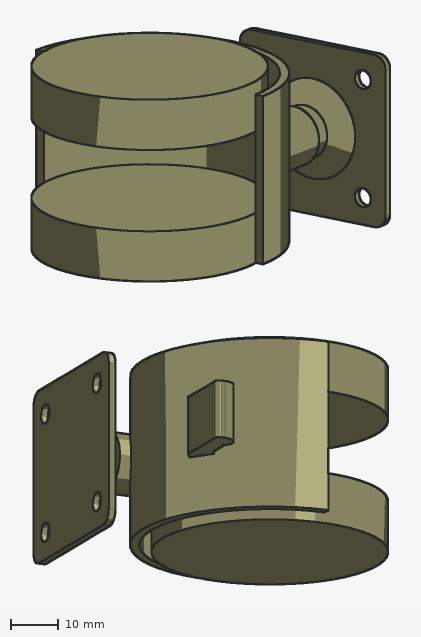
import cadquery as cq
import math


wheel_radius = 25.0
wheel_inner_z = 8.95
wheel_rim_z = 20.0
wheel_crown_z = 22.0

hood_radius = 29.5
hood_wall = 2.0
hood_height = 36.95

swivel_x = 15.5
plate_size = 37.9
plate_thickness = 1.6
plate_corner_radius = 3.0
plate_top_y = 39.0
hole_spacing = 25.95
hole_diameter = 4.1

cone_radius = 11.0
collar_radius = 5.8
collar_length = 3.0
cone_length = 2.9
neck_radius = 3.4
neck_length = 0.85
boss_radius = 6.5

plate_bottom_y = plate_top_y - plate_thickness
collar_top_y = plate_bottom_y - cone_length
neck_top_y = collar_top_y - collar_length
boss_top_y = neck_top_y - neck_length

lever_height = 12.45
lever_top_y = 26.95
lever_under_y = 22.85
lever_tip_x = -31.8
tip_radius = 3.25
tip_center_y = 25.2
tip_corner_radius = 1.0
tip_arc_end_angle = math.radians(-70)
lever_ramp_end_x = -26.5
upper_bend_x = -17.2
upper_root = (-14.85, 25.4)
lower_bend_x = -20.9
lower_root = (-19.6, 22.0)


def make_wheel(side):
    """One disc with a shallow spherical crown; side is +1 or -1 along Z."""
    crown_height = wheel_crown_z - wheel_rim_z
    crown_radius = (wheel_radius**2 + crown_height**2) / (2 * crown_height)
    half_chord = wheel_radius / 2
    crown_center_z = wheel_crown_z - crown_radius
    crown_mid_z = crown_center_z + math.sqrt(crown_radius**2 - half_chord**2)
    return (
        cq.Workplane("XZ")
        .moveTo(0, side * wheel_inner_z)
        .lineTo(wheel_radius, side * wheel_inner_z)
        .lineTo(wheel_radius, side * wheel_rim_z)
        .threePointArc((half_chord, side * crown_mid_z), (0, side * wheel_crown_z))
        .close()
        .revolve(360, (0, 0), (0, 1))
    )


def cylinder_along_y(radius, bottom_y, top_y):
    """Cylinder on the swivel axis between two Y positions."""
    return cq.Workplane("XZ", origin=(swivel_x, bottom_y, 0)).circle(radius).extrude(bottom_y - top_y)


def make_lever():
    """Brake lever with a rounded, drooping tip, running on into the hood."""
    tip_center_x = lever_tip_x + tip_radius
    arc_mid_angle = (tip_arc_end_angle - math.pi) / 2

    def tip_point(angle):
        return (tip_center_x + tip_radius * math.cos(angle), tip_center_y + tip_radius * math.sin(angle))

    return (
        cq.Workplane("XY", origin=(0, 0, -lever_height / 2))
        .moveTo(lever_tip_x + tip_corner_radius, lever_top_y)
        .lineTo(upper_bend_x, lever_top_y)
        .lineTo(*upper_root)
        .lineTo(0, 0)
        .lineTo(*lower_root)
        .lineTo(lower_bend_x, lever_under_y)
        .lineTo(lever_ramp_end_x, lever_under_y)
        .lineTo(*tip_point(tip_arc_end_angle))
        .threePointArc(tip_point(arc_mid_angle), (lever_tip_x, tip_center_y))
        .lineTo(lever_tip_x, lever_top_y - tip_corner_radius)
        .radiusArc((lever_tip_x + tip_corner_radius, lever_top_y), tip_corner_radius)
        .close()
        .extrude(lever_height)
    )


def make_housing():
    """Half-tube hood carrying the swivel boss and the brake lever."""
    base = cq.Workplane("XY", origin=(0, 0, -hood_height / 2))
    outer = base.circle(hood_radius).extrude(hood_height)
    bore = base.circle(hood_radius - hood_wall).extrude(hood_height)
    open_side = (
        base.center(0, -hood_radius / 2)
        .rect(2 * hood_radius, hood_radius)
        .extrude(hood_height)
    )
    boss = cylinder_along_y(boss_radius, 0, boss_top_y)
    return outer.cut(open_side).union(boss).union(make_lever()).cut(bore)


def make_plate():
    """Square mounting plate with four holes and its conical stem."""
    plate = (
        cq.Workplane("XZ", origin=(swivel_x, plate_bottom_y, 0))
        .rect(plate_size, plate_size)
        .extrude(-plate_thickness)
        .edges("|Y")
        .fillet(plate_corner_radius)
    )
    holes = (
        cq.Workplane("XZ", origin=(swivel_x, plate_bottom_y, 0))
        .rect(hole_spacing, hole_spacing, forConstruction=True)
        .vertices()
        .circle(hole_diameter / 2)
        .extrude(-plate_thickness)
    )
    stem = (
        cq.Workplane("XY")
        .moveTo(swivel_x, boss_top_y)
        .lineTo(swivel_x + neck_radius, boss_top_y)
        .lineTo(swivel_x + neck_radius, neck_top_y)
        .lineTo(swivel_x + collar_radius, neck_top_y)
        .lineTo(swivel_x + collar_radius, collar_top_y)
        .lineTo(swivel_x + cone_radius, plate_bottom_y)
        .lineTo(swivel_x, plate_bottom_y)
        .close()
        .revolve(360, (swivel_x, 0), (swivel_x, 1))
    )
    return plate.cut(holes).union(stem)


wheels = [make_wheel(side) for side in (1, -1)]
housing = make_housing()
mounting_plate = make_plate()

result = cq.Compound.makeCompound([housing.val(), mounting_plate.val(), *[wheel.val() for wheel in wheels]])